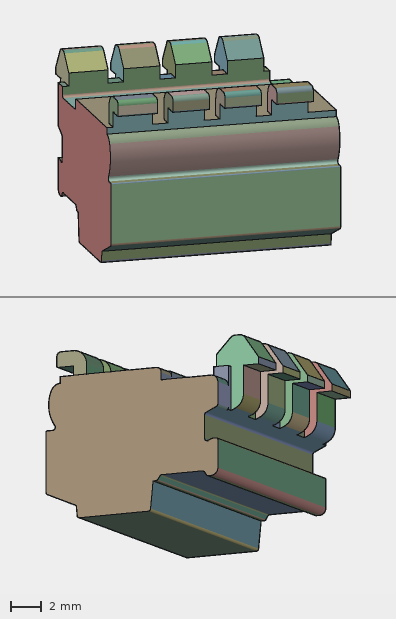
import cadquery as cq
import math


LENGTH = 15.5
TOP_Z = 9.45
CREST_Z = 11.5
RIGHT_X = 12.51
HOOK_FACE_X = 11.49

GROOVE_X = 0.96
SLOPE_TOP_Z = 6.54
SLOPE_END_Z = 6.12
LIP_TOP_Z = 4.42
LIP_BOTTOM_Z = 1.97

CHANNEL_LEFT = 1.07
CHANNEL_RIGHT = 4.12
CHANNEL_Z = 8.71
SMALL_RADIUS = 0.17

END_LENGTH = 1.5
END_FLOOR_Z = 8.6
END_WALL_RADIUS = 0.5
END_STEP_RADIUS = 0.37

LIP_CREST_X = 0.4
LIP_DIP_Z = 4.22
LIP_CREST_RADIUS = 0.46
LIP_FOOT_RADIUS = 0.46
LIP_EDGE_RADIUS = 0.12

UNDERSIDE_Z = 2.32
RECESS_LEFT_TOP = 1.04
RECESS_LEFT = 0.79
RECESS_RIGHT_TOP = 4.17
RECESS_RIGHT = 4.42
RECESS_LEFT_RADIUS = 0.23
RECESS_RIGHT_RADIUS = 0.12
FOOT_LEFT_TOP = 4.71
FOOT_LEFT = 4.91
FOOT_RIGHT = 10.23
FOOT_RIGHT_TOP = 10.3
FOOT_STEP_Z = 0.82
RIGHT_SLOPE_Z = 1.77
RIGHT_SLOPE_RADIUS = 0.19
SHELF_Z = 5.95
SHELF_RADIUS = 0.08

NOTCH_FOOT = (12.0, SHELF_Z)
NOTCH_MIDDLE = (11.84, 6.08)
BULGE_FOOT = (11.87, 6.25)
BULGE_MIDDLE = (12.32, 7.63)
BULGE_SHOULDER = (12.15, 8.52)
BULGE_TOP_Z = 9.02

POLES = 4
PITCH = 3.5
FIRST_Y = 0.62
TAB_WIDTH = 2.46
FIRST_EXTRA = 0.2

LATCH_TIP_X = -2.0
LATCH_STEM_X = -0.9
LATCH_TIP_Z = 9.92
LATCH_BACK_Z = 10.34
LATCH_SLOPE_X = -0.85
LATCH_CREST_RADIUS = 0.46
LATCH_STEM_RADIUS = 0.96

HOOK_STEM = 0.96
HOOK_TIP_X = 12.7
HOOK_UNDER_Z = 10.48
HOOK_TIP_RADIUS = 0.33
HOOK_EDGE_RADIUS = 0.08


def rounded_prism(corners, y_start, y_end):
    """Extrude an XZ outline along Y; each corner is (x, z) or (x, z, radius)."""
    count = len(corners)
    outline = cq.Workplane("XZ", origin=(0, y_start, 0))
    started = False
    for i, corner in enumerate(corners):
        here = cq.Vector(corner[0], corner[1])
        pieces = [here]
        if len(corner) == 3:
            before = corners[i - 1]
            after = corners[(i + 1) % count]
            back = (cq.Vector(before[0], before[1]) - here).normalized()
            ahead = (cq.Vector(after[0], after[1]) - here).normalized()
            half_angle = back.getAngle(ahead) / 2
            radius = corner[2]
            setback = radius / math.tan(half_angle)
            bisector = (back + ahead).normalized()
            middle = here + bisector * (radius / math.sin(half_angle) - radius)
            pieces = [here + back * setback, middle, here + ahead * setback]
        first = pieces[0].toTuple()[:2]
        outline = outline.lineTo(*first) if started else outline.moveTo(*first)
        started = True
        if len(pieces) == 3:
            outline = outline.threePointArc(pieces[1].toTuple()[:2], pieces[2].toTuple()[:2])
    return outline.close().extrude(y_start - y_end)


def housing(y_start, y_end, top_left):
    """Housing length whose top left outline runs from the left wall to the top face."""
    corners = top_left + [
        (HOOK_FACE_X, TOP_Z),
        (HOOK_FACE_X, SHELF_Z),
        (RIGHT_X, SHELF_Z, SHELF_RADIUS),
        (RIGHT_X, RIGHT_SLOPE_Z, RIGHT_SLOPE_RADIUS),
        (FOOT_RIGHT_TOP, FOOT_STEP_Z),
        (FOOT_RIGHT, 0, SMALL_RADIUS),
        (FOOT_LEFT, 0, SMALL_RADIUS),
        (FOOT_LEFT_TOP, LIP_BOTTOM_Z),
        (RECESS_RIGHT, LIP_BOTTOM_Z, RECESS_RIGHT_RADIUS),
        (RECESS_RIGHT_TOP, UNDERSIDE_Z, RECESS_RIGHT_RADIUS),
        (RECESS_LEFT_TOP, UNDERSIDE_Z, RECESS_LEFT_RADIUS),
        (RECESS_LEFT, LIP_BOTTOM_Z, SMALL_RADIUS),
        (0, LIP_BOTTOM_Z, LIP_FOOT_RADIUS),
        (0, LIP_TOP_Z, LIP_EDGE_RADIUS),
        (LIP_CREST_X, LIP_TOP_Z, LIP_CREST_RADIUS),
        (GROOVE_X, LIP_DIP_Z, SMALL_RADIUS),
        (GROOVE_X, SLOPE_END_Z, SMALL_RADIUS),
    ]
    return rounded_prism(corners, y_start, y_end)


def main_housing():
    return housing(0, LENGTH - END_LENGTH, [
        (0, SLOPE_TOP_Z),
        (0, TOP_Z),
        (CHANNEL_LEFT, TOP_Z),
        (CHANNEL_LEFT, CHANNEL_Z, SMALL_RADIUS),
        (CHANNEL_RIGHT, CHANNEL_Z, SMALL_RADIUS),
        (CHANNEL_RIGHT, TOP_Z, SMALL_RADIUS),
    ])


def end_housing():
    return housing(LENGTH - END_LENGTH, LENGTH, [
        (0, SLOPE_TOP_Z, SMALL_RADIUS),
        (0, END_FLOOR_Z, END_WALL_RADIUS),
        (CHANNEL_RIGHT, END_FLOOR_Z),
        (CHANNEL_RIGHT, TOP_Z, END_STEP_RADIUS),
    ])


def side_bulge():
    """Rounded bulge on the right face, with a small notch above the shelf."""
    return (
        cq.Workplane("XZ")
        .moveTo(*NOTCH_FOOT)
        .threePointArc(NOTCH_MIDDLE, BULGE_FOOT)
        .threePointArc(BULGE_MIDDLE, BULGE_SHOULDER)
        .tangentArcPoint((HOOK_FACE_X, BULGE_TOP_Z), relative=False)
        .lineTo(HOOK_FACE_X, SHELF_Z)
        .close()
        .extrude(-LENGTH)
    )


def latch(y_start, y_end):
    roof_slope = (SLOPE_TOP_Z - SLOPE_END_Z) / GROOVE_X
    stem_end_z = SLOPE_TOP_Z - roof_slope * LATCH_STEM_X
    crest_end_x = CHANNEL_LEFT - (CREST_Z - LATCH_BACK_Z)
    return rounded_prism([
        (LATCH_STEM_X, TOP_Z),
        (LATCH_TIP_X, TOP_Z),
        (LATCH_TIP_X, LATCH_TIP_Z),
        (LATCH_SLOPE_X, CREST_Z, LATCH_CREST_RADIUS),
        (crest_end_x, CREST_Z, LATCH_CREST_RADIUS),
        (CHANNEL_LEFT, LATCH_BACK_Z),
        (CHANNEL_LEFT, TOP_Z),
        (0, TOP_Z),
        (0, SLOPE_TOP_Z),
        (LATCH_STEM_X, stem_end_z, LATCH_STEM_RADIUS),
    ], y_start, y_end)


def hook(y_start, y_end):
    stem_x = HOOK_FACE_X - HOOK_STEM
    return rounded_prism([
        (stem_x, TOP_Z),
        (stem_x, CREST_Z, HOOK_STEM),
        (HOOK_TIP_X, CREST_Z, HOOK_TIP_RADIUS),
        (HOOK_TIP_X, HOOK_UNDER_Z, HOOK_EDGE_RADIUS),
        (HOOK_FACE_X, HOOK_UNDER_Z),
        (HOOK_FACE_X, TOP_Z),
    ], y_start, y_end)


result = main_housing().union(end_housing()).union(side_bulge())
for pole in range(POLES):
    tab_start = FIRST_Y + pole * PITCH
    tab_end = tab_start + TAB_WIDTH
    if pole == 0:
        tab_start -= FIRST_EXTRA
    result = result.union(latch(tab_start, tab_end)).union(hook(tab_start, tab_end))